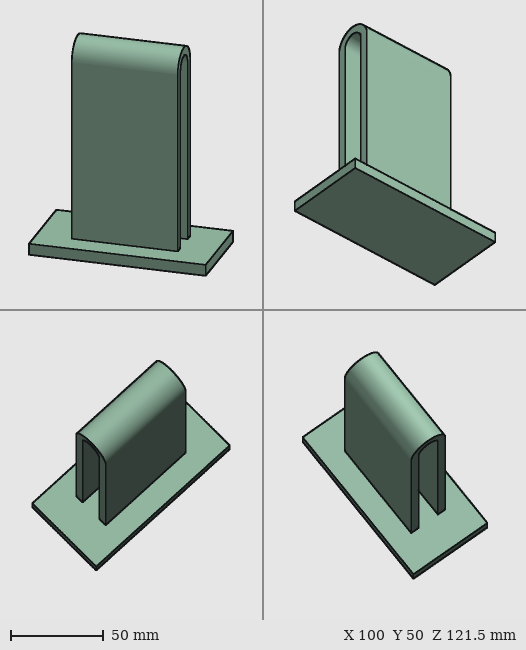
import cadquery as cq

plate_length = 100.0
plate_width = 50.0
plate_thickness = 6.5

strap_width = 60.0
strap_thickness = 5.0
bend_outer_radius = 11.5
overall_height = 121.5

bend_inner_radius = bend_outer_radius - strap_thickness
bend_center_z = overall_height - bend_outer_radius


def make_plate():
    """Flat rectangular plate with its underside at Z = 0."""
    return cq.Workplane("XY").box(
        plate_length, plate_width, plate_thickness, centered=(True, True, False)
    )


def make_strap():
    """Inverted U: two straight legs joined by a half-round bend, extruded along X."""
    profile = (
        cq.Workplane("YZ")
        .moveTo(-bend_outer_radius, plate_thickness)
        .lineTo(-bend_outer_radius, bend_center_z)
        .threePointArc((0, overall_height), (bend_outer_radius, bend_center_z))
        .lineTo(bend_outer_radius, plate_thickness)
        .lineTo(bend_inner_radius, plate_thickness)
        .lineTo(bend_inner_radius, bend_center_z)
        .threePointArc(
            (0, bend_center_z + bend_inner_radius), (-bend_inner_radius, bend_center_z)
        )
        .lineTo(-bend_inner_radius, plate_thickness)
        .close()
    )
    return profile.extrude(strap_width / 2, both=True)


plate = make_plate()
strap = make_strap()

result = cq.Compound.makeCompound([plate.val(), strap.val()])